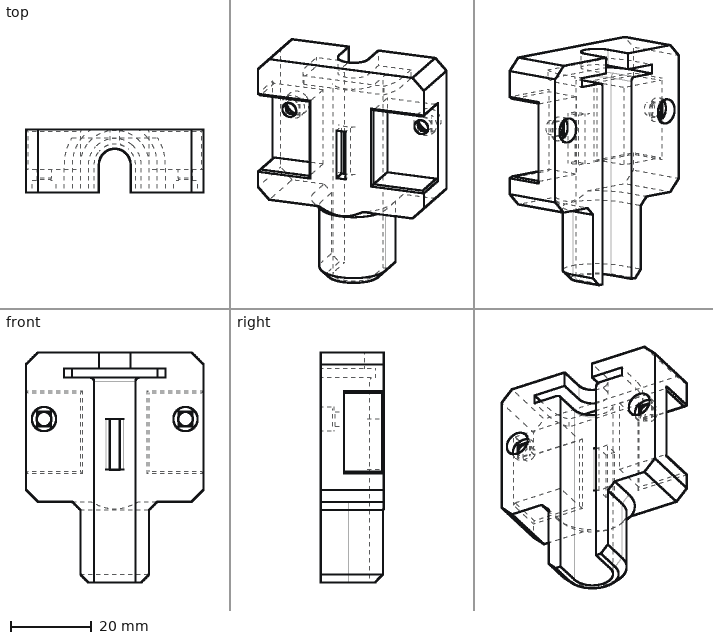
import cadquery as cq
import math

body_width = 44.0
body_depth = 15.68
total_height = 57.0
body_bottom = 20.0
body_corner_chamfer = 3.0

axis_y = 6.95
neck_radius = 8.5
neck_chamfer = 2.0

bore_radius = 5.1
top_slot_radius = 3.9
flange_radius = 12.5
flange_top = total_height - 4.0
flange_thickness = 2.25
flange_bottom = flange_top - flange_thickness
flange_flat_half_width = 10.6
flange_back_y = axis_y + math.sqrt(flange_radius**2 - flange_flat_half_width**2)
bore_lip_radius = 1.0
selection_margin = 0.1

window_front_width = 4.4
window_back_width = 2.4
window_flare_depth = 0.6
window_bottom = 28.0
window_height = 12.5

front_plate_thickness = 5.8
core_half_width = neck_radius
pocket_bottom = 27.5
pocket_top = 47.0
pocket_chamfer = 0.5

screw_x = 17.5
screw_z = 40.5
screw_hole_diameter = 3.6
screw_head_diameter = 6.0
screw_head_depth = 3.0
step_width = 3.5
step_height = 3.65
step_depth = 0.3


def front_prism(points, y_start, y_end):
    """Extrude an XZ outline from y_start to y_end."""
    plane = cq.Workplane("XZ", origin=(0, y_start, 0))
    return plane.polyline(points).close().extrude(y_start - y_end)


def front_box(x_center, z_center, width, height, y_start, y_end):
    """Box centred in X and Z, running from y_start to y_end."""
    plane = cq.Workplane("XZ", origin=(x_center, y_start, z_center))
    return plane.rect(width, height).extrude(y_start - y_end)


def front_cylinder(x_center, z_center, diameter, y_start, y_end):
    """Cylinder along Y from y_start to y_end."""
    plane = cq.Workplane("XZ", origin=(x_center, y_start, z_center))
    return plane.circle(diameter / 2).extrude(y_start - y_end)


def channel(radius, z_bottom, z_top):
    """Vertical U-shaped prism, flat at the front face and round at the back."""
    return (
        cq.Workplane("XY", origin=(0, 0, z_bottom))
        .moveTo(-radius, 0)
        .lineTo(-radius, axis_y)
        .threePointArc((0, axis_y + radius), (radius, axis_y))
        .lineTo(radius, 0)
        .close()
        .extrude(z_top - z_bottom)
    )


def make_body():
    height = total_height - body_bottom
    block = front_box(0, body_bottom + height / 2, body_width, height, 0, body_depth)
    return block.edges("|Y").chamfer(body_corner_chamfer)


def make_neck():
    """Neck with a chamfered foot and a flare where it meets the body."""
    flare_radius = neck_radius + neck_chamfer
    foot_radius = neck_radius - neck_chamfer
    half_profile = [
        (0, 0),
        (foot_radius, 0),
        (neck_radius, neck_chamfer),
        (neck_radius, body_bottom - neck_chamfer),
        (flare_radius, body_bottom),
        (0, body_bottom),
    ]
    right_side = half_profile[1:-1]
    left_side = [(-x, z) for x, z in reversed(right_side)]
    straight = front_prism(right_side + left_side, 0, axis_y)
    axis_plane = cq.Workplane("XZ", origin=(0, axis_y, 0))
    turned = axis_plane.polyline(half_profile).close().revolve(360, (0, 0, 0), (0, 1, 0))
    back_half = front_box(0, body_bottom / 2, body_width, body_bottom, axis_y, body_depth)
    return straight.union(turned.intersect(back_half))


def cut_channel(part):
    part = part.cut(channel(bore_radius, 0, flange_top))
    part = part.cut(channel(top_slot_radius, flange_bottom, total_height))
    flange = channel(flange_radius, flange_bottom, flange_top)
    flange_limit = front_box(0, total_height / 2, body_width, total_height, 0, flange_back_y)
    part = part.cut(flange.intersect(flange_limit))
    lip_reach = bore_radius + selection_margin
    lip_edges = cq.selectors.BoxSelector(
        (-lip_reach, selection_margin, flange_bottom - selection_margin),
        (lip_reach, axis_y + lip_reach, flange_bottom + selection_margin),
    )
    return part.edges(lip_edges).fillet(bore_lip_radius)


def make_window():
    """Upright slot through the back wall, with side walls that flare open at the bore."""
    bore_back_y = axis_y + math.sqrt(bore_radius**2 - (window_front_width / 2) ** 2)
    return (
        cq.Workplane("XY", origin=(0, 0, window_bottom))
        .moveTo(-window_front_width / 2, axis_y)
        .lineTo(-window_front_width / 2, bore_back_y)
        .lineTo(-window_back_width / 2, bore_back_y + window_flare_depth)
        .lineTo(-window_back_width / 2, body_depth)
        .lineTo(window_back_width / 2, body_depth)
        .lineTo(window_back_width / 2, bore_back_y + window_flare_depth)
        .lineTo(window_front_width / 2, bore_back_y)
        .lineTo(window_front_width / 2, axis_y)
        .close()
        .extrude(window_height)
    )


def make_pocket(side):
    """Pocket on one side (+1 or -1) with its side and back openings chamfered."""
    height = pocket_top - pocket_bottom
    z_center = (pocket_top + pocket_bottom) / 2
    width = body_width / 2 - core_half_width
    x_center = side * (core_half_width + width / 2)
    pocket = front_box(x_center, z_center, width, height, front_plate_thickness, body_depth)

    outer_x = side * body_width / 2
    half = height / 2
    wide = half + pocket_chamfer
    side_flare_points = [
        (outer_x, z_center - wide),
        (outer_x, z_center + wide),
        (outer_x - side * pocket_chamfer, z_center + half),
        (outer_x - side * pocket_chamfer, z_center - half),
    ]
    side_flare = front_prism(side_flare_points, front_plate_thickness, body_depth)

    flare_width = 2 * width
    back_flare = (
        cq.Workplane("XZ", origin=(outer_x, body_depth - pocket_chamfer, z_center))
        .rect(flare_width, height)
        .workplane(offset=-pocket_chamfer)
        .rect(flare_width + 2 * pocket_chamfer, 2 * wide)
        .loft()
    )
    return pocket.union(side_flare).union(back_flare)


def make_screw_hole(x_center):
    """Head recess, two thin stepped layers and the round through hole."""
    strip_end = screw_head_depth + step_depth
    square_end = strip_end + step_depth
    head_limit = front_cylinder(x_center, screw_z, screw_head_diameter, 0, strip_end)
    recess = front_cylinder(x_center, screw_z, screw_head_diameter, 0, screw_head_depth)
    strip = front_box(x_center, screw_z, step_width, screw_head_diameter, screw_head_depth, strip_end)
    square = front_box(x_center, screw_z, step_width, step_height, strip_end, square_end)
    shank = front_cylinder(x_center, screw_z, screw_hole_diameter, square_end, front_plate_thickness)
    return recess.union(strip.intersect(head_limit)).union(square).union(shank)


part = cut_channel(make_body().union(make_neck()))
part = part.cut(make_window())
for side in (-1, 1):
    part = part.cut(make_pocket(side))
    part = part.cut(make_screw_hole(side * screw_x))

result = part